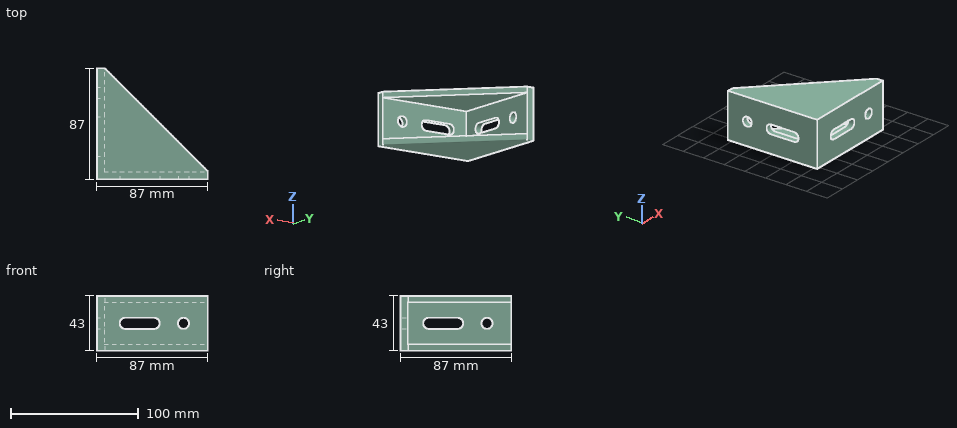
import cadquery as cq

leg = 87.0
height = 43.0
tip = 6.3
wall = 6.0
plate = 5.0
edge_radius = 0.5

hole_diameter = 8.5
hole_position = 67.9
slot_length = 31.15
slot_position = 33.6


def wall_openings():
    """Cutters for the round hole and the slot in the wall that lies along X."""
    middle = height / 2
    face = cq.Workplane("XZ")
    hole = face.center(hole_position, middle).circle(hole_diameter / 2).extrude(-wall)
    slot = face.center(slot_position, middle).slot2D(slot_length, hole_diameter).extrude(-wall)
    return hole.union(slot)


outline = [(0, 0), (leg, 0), (leg, tip), (tip, leg), (0, leg)]
body = cq.Workplane("XY").polyline(outline).close().extrude(height)

body = body.faces(">X or >Y or >(1, 1, 0)").edges("#Z").fillet(edge_radius)

cavity = cq.Workplane("XY").box(leg, leg, height - 2 * plate, centered=False)
body = body.cut(cavity.translate((wall, wall, plate)))

openings = wall_openings()
body = body.cut(openings)
body = body.cut(openings.rotate((0, 0, 0), (1, 1, 0), 180).translate((0, 0, height)))

result = body